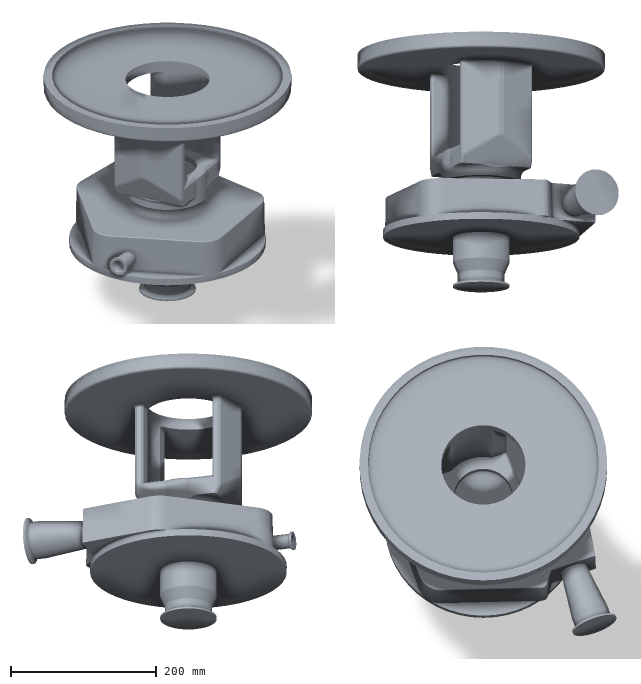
import cadquery as cq
import math

TOTAL_LENGTH = 370.0

TOTAL_HEIGHT = 324.5
PLATE_BOTTOM = 303.0
FORK_SHOULDER = 199.8
SEAT_TOP = 188.0
FORK_BOTTOM = 160.5
HUB_BOTTOM = 146.0
HOUSING_TOP = 130.0
DISC_TOP = 78.8
DISC_BOTTOM = 69.5
PIPE_CONE_TOP = 33.5
PIPE_CONE_BOTTOM = 18.0

PLATE_DIAMETER = 340.0
PLATE_RADIUS = PLATE_DIAMETER / 2
PLATE_FILLET = 3.0
RECESS_RADIUS = 158.5
RECESS_DEPTH = 5.5
RECESS_FILLET = 1.0
PLATE_BORE_RADIUS = 57.7

FORK_HALF_WIDTH = 52.0
FORK_CORNER_Y = 60.5
FORK_RIDGE_Y = 75.5
RIDGE_HALF_WIDTH = 3.5
FORK_CORNER_CHAMFER = 2.5
FORK_SLOPE_DEGREES = 63.5
FORK_BOTTOM_Y = FORK_RIDGE_Y - (FORK_SHOULDER - FORK_BOTTOM) / math.tan(math.radians(FORK_SLOPE_DEGREES))
WINDOW_HALF_WIDTH = 49.5
WINDOW_CHAMFER = 2.5
SEAT_CHAMFER_HEIGHT = 3.7
SLOPE_CHAMFER = 1.5
FOOT_CHAMFER = 2.0

HUB_RADIUS = 54.8
HUB_CHAMFER = 2.5
HUB_FILLET = 6.0
HUB_RECESS_RADIUS = 40.5
HUB_RECESS_DEPTH = 9.2
NECK_RADIUS = 45.0
NECK_FILLET = 10.5

HOUSING_SIDES = 5
HOUSING_APOTHEM = 115.5
HOUSING_CORNER_RADIUS = 32.0
HOUSING_PEAK_RADIUS = 9.2
PEAK_ANGLE = math.radians(108)
HOUSING_DRAFT = 1.0
HOUSING_TOP_FILLET = 1.5
DISCHARGE_FACE_Y = 114.5
DISCHARGE_CORNER_X = -123.5
DISC_RADIUS = 135.0

PIPE_RADIUS = 39.0
PIPE_END_RADIUS = 32.2
DISCHARGE_X = -91.5
DISCHARGE_Z = 103.5
DISCHARGE_END_Y = TOTAL_LENGTH - PLATE_RADIUS
DISCHARGE_CONE_Y = 179.5
DISCHARGE_RADIUS = 26.0
DISCHARGE_THROAT_RADIUS = 19.0
DISCHARGE_THROAT_Y = 118.0
DISCHARGE_FLANGE_RADIUS = 32.0
DISCHARGE_OVERLAP = 7.5
DRAIN_Z = 98.0
DRAIN_END_Y = 151.0
DRAIN_RADIUS = 10.0
DRAIN_FLANGE_RADIUS = 13.0
DRAIN_BORE_RADIUS = 7.8
DRAIN_BORE_CHAMFER = 1.5

FLANGE_RIM = 2.5
FLANGE_BACK = 3.5
DRAIN_FLANGE_SCALE = 0.9

SELECT_MARGIN = 2.0


def cylinder(radius, bottom, top):
    return cq.Workplane("XY").workplane(offset=bottom).circle(radius).extrude(top - bottom)


def revolved(points):
    """Solid of revolution about Z from (radius, height) points."""
    return cq.Workplane("XZ").polyline(points).close().revolve(360, (0, 0, 0), (0, 1, 0))


def recess(radius, bottom, top):
    """Cutter for a round recess with a filleted floor."""
    return cylinder(radius, bottom, top).faces("<Z").edges().fillet(RECESS_FILLET)


def mounting_plate():
    plate = cylinder(PLATE_RADIUS, PLATE_BOTTOM, TOTAL_HEIGHT)
    plate = plate.faces("<Z").edges().fillet(PLATE_FILLET)
    return plate.cut(recess(RECESS_RADIUS, TOTAL_HEIGHT - RECESS_DEPTH, TOTAL_HEIGHT))


def fork_plan(bottom, top):
    """Prism with flat sides and a shallow ridge towards +Y and -Y."""
    quarter = [(FORK_HALF_WIDTH, FORK_CORNER_Y), (RIDGE_HALF_WIDTH, FORK_RIDGE_Y)]
    half = quarter + [(-x, y) for x, y in reversed(quarter)]
    outline = half + [(-x, -y) for x, y in half]
    return cq.Workplane("XY").workplane(offset=bottom).polyline(outline).close().extrude(top - bottom)


def fork():
    block = fork_plan(FORK_BOTTOM, PLATE_BOTTOM)
    half = [
        (FORK_BOTTOM_Y, FORK_BOTTOM),
        (FORK_RIDGE_Y, FORK_SHOULDER),
        (FORK_RIDGE_Y, PLATE_BOTTOM),
    ]
    side_profile = half + [(-y, z) for y, z in reversed(half)]
    sloped = cq.Workplane("YZ").polyline(side_profile).close().extrude(FORK_HALF_WIDTH, both=True)
    block = block.intersect(sloped)
    brow = cq.selectors.BoxSelector(
        (SELECT_MARGIN - FORK_HALF_WIDTH, -FORK_RIDGE_Y - SELECT_MARGIN, FORK_BOTTOM + SELECT_MARGIN),
        (FORK_HALF_WIDTH - SELECT_MARGIN, FORK_RIDGE_Y + SELECT_MARGIN, FORK_SHOULDER + SELECT_MARGIN))
    for y in (-FORK_RIDGE_Y, FORK_RIDGE_Y):
        slope = cq.selectors.NearestToPointSelector((0, y, FORK_BOTTOM))
        block = block.faces(slope).edges(brow).chamfer(SLOPE_CHAMFER)
    for side in ("<X", ">X"):
        block = block.faces(side).edges("not #Z").chamfer(FORK_CORNER_CHAMFER)
    return block


def fork_window():
    height = PLATE_BOTTOM - SEAT_TOP
    window = cq.Workplane("XY").workplane(offset=SEAT_TOP).rect(
        2 * FORK_HALF_WIDTH, 2 * WINDOW_HALF_WIDTH).extrude(height)
    mouth_z = SEAT_TOP - SEAT_CHAMFER_HEIGHT
    mouth_half = WINDOW_HALF_WIDTH + WINDOW_CHAMFER
    for side in (-1, 1):
        mouth = (
            cq.Workplane("YZ", origin=(side * (FORK_HALF_WIDTH - WINDOW_CHAMFER), 0, 0))
            .center(0, SEAT_TOP + height / 2)
            .rect(2 * WINDOW_HALF_WIDTH, height)
            .workplane(offset=side * WINDOW_CHAMFER)
            .center(0, (mouth_z - SEAT_TOP) / 2)
            .rect(2 * mouth_half, PLATE_BOTTOM - mouth_z)
            .loft(combine=True)
        )
        window = window.union(mouth)
    return window


def hub():
    body = cylinder(HUB_RADIUS, HUB_BOTTOM, SEAT_TOP)
    return body.faces(">Z").edges().chamfer(HUB_CHAMFER)


def hub_fillet():
    """Concave fillet between the hub and the overhanging underside of the fork."""
    outer = HUB_RADIUS + HUB_FILLET
    bend = HUB_FILLET * (1 - math.sqrt(0.5))
    ring = (
        cq.Workplane("XZ")
        .moveTo(NECK_RADIUS, FORK_BOTTOM)
        .lineTo(outer, FORK_BOTTOM)
        .threePointArc((HUB_RADIUS + bend, FORK_BOTTOM - bend), (HUB_RADIUS, FORK_BOTTOM - HUB_FILLET))
        .lineTo(NECK_RADIUS, FORK_BOTTOM - HUB_FILLET)
        .close()
        .revolve(360, (0, 0, 0), (0, 1, 0))
    )
    underside = cq.Workplane("XY").workplane(offset=HUB_BOTTOM).rect(
        2 * FORK_HALF_WIDTH, 2 * FORK_BOTTOM_Y).extrude(FORK_BOTTOM - HUB_BOTTOM)
    return ring.intersect(underside)


def neck():
    bend = NECK_FILLET * (1 - math.sqrt(0.5))
    return (
        cq.Workplane("XZ")
        .moveTo(0, HOUSING_TOP)
        .lineTo(NECK_RADIUS + NECK_FILLET, HOUSING_TOP)
        .threePointArc((NECK_RADIUS + bend, HOUSING_TOP + bend), (NECK_RADIUS, HOUSING_TOP + NECK_FILLET))
        .lineTo(NECK_RADIUS, HUB_BOTTOM)
        .lineTo(0, HUB_BOTTOM)
        .close()
        .revolve(360, (0, 0, 0), (0, 1, 0))
    )


def housing():
    """Pentagon with one side pushed out to a flat face for the discharge pipe."""
    corner_distance = HOUSING_APOTHEM / math.cos(math.pi / HOUSING_SIDES)
    corner_angles = [PEAK_ANGLE + 2 * math.pi * i / HOUSING_SIDES for i in range(HOUSING_SIDES)]
    corners = [(corner_distance * math.cos(a), corner_distance * math.sin(a)) for a in corner_angles]
    peak, west = corners[0], corners[1]
    slide = (peak[1] - DISCHARGE_FACE_Y) / (peak[1] - west[1])
    step = (peak[0] + slide * (west[0] - peak[0]), DISCHARGE_FACE_Y)
    outline = [peak, step, (DISCHARGE_CORNER_X, DISCHARGE_FACE_Y)] + corners[1:]
    body = cq.Workplane("XY").workplane(offset=DISC_TOP).polyline(outline).close()
    body = body.extrude(HOUSING_TOP - DISC_TOP, taper=HOUSING_DRAFT)
    corner_radii = [HOUSING_PEAK_RADIUS] + [HOUSING_CORNER_RADIUS] * (HOUSING_SIDES - 1)
    for (x, y), radius in zip(corners, corner_radii):
        upright_edge = cq.selectors.NearestToPointSelector((x, y, (DISC_TOP + HOUSING_TOP) / 2))
        body = body.edges(upright_edge).fillet(radius)
    return body.faces(">Z").edges().fillet(HOUSING_TOP_FILLET)


def clamp_flange(pipe_radius, flange_radius, scale=1.0):
    """Clamp flange facing -Z with its sealing face at Z = 0."""
    rim = FLANGE_RIM * scale
    back = rim + FLANGE_BACK * scale
    return revolved([(0, 0), (flange_radius, 0), (flange_radius, rim), (pipe_radius, back), (0, back)])


def suction_pipe():
    pipe = revolved([
        (0, 0),
        (PIPE_END_RADIUS, 0),
        (PIPE_END_RADIUS, PIPE_CONE_BOTTOM),
        (PIPE_RADIUS, PIPE_CONE_TOP),
        (PIPE_RADIUS, DISC_BOTTOM),
        (0, DISC_BOTTOM),
    ])
    return pipe.union(clamp_flange(PIPE_END_RADIUS, PIPE_RADIUS))


def discharge_pipe():
    cone_end = DISCHARGE_END_Y - DISCHARGE_CONE_Y
    throat = DISCHARGE_END_Y - DISCHARGE_THROAT_Y
    root = DISCHARGE_END_Y - DISCHARGE_FACE_Y + DISCHARGE_OVERLAP
    pipe = revolved([
        (0, 0),
        (DISCHARGE_RADIUS, 0),
        (DISCHARGE_RADIUS, cone_end),
        (DISCHARGE_THROAT_RADIUS, throat),
        (DISCHARGE_THROAT_RADIUS, root),
        (0, root),
    ])
    pipe = pipe.union(clamp_flange(DISCHARGE_RADIUS, DISCHARGE_FLANGE_RADIUS))
    return pipe.rotate((0, 0, 0), (1, 0, 0), 90).translate((DISCHARGE_X, DISCHARGE_END_Y, DISCHARGE_Z))


def add_drain_pipe(solid):
    """Add the drain stub, bored through to the housing wall."""
    root = DRAIN_END_Y - HOUSING_APOTHEM
    stub = cylinder(DRAIN_RADIUS, 0, root)
    stub = stub.union(clamp_flange(DRAIN_RADIUS, DRAIN_FLANGE_RADIUS, DRAIN_FLANGE_SCALE))

    def place(shape):
        return shape.rotate((0, 0, 0), (1, 0, 0), -90).translate((0, -DRAIN_END_Y, DRAIN_Z))

    mouth_radius = DRAIN_BORE_RADIUS + DRAIN_BORE_CHAMFER
    bore = revolved([
        (0, 0),
        (mouth_radius, 0),
        (DRAIN_BORE_RADIUS, DRAIN_BORE_CHAMFER),
        (DRAIN_BORE_RADIUS, root),
        (0, root),
    ])
    return solid.union(place(stub)).cut(place(bore))


support = mounting_plate().union(fork().cut(fork_window()))
fork_feet = cq.selectors.BoxSelector(
    (-FORK_HALF_WIDTH - SELECT_MARGIN, -FORK_RIDGE_Y - SELECT_MARGIN, PLATE_BOTTOM - SELECT_MARGIN),
    (FORK_HALF_WIDTH + SELECT_MARGIN, FORK_RIDGE_Y + SELECT_MARGIN, PLATE_BOTTOM + SELECT_MARGIN))
support = support.edges(fork_feet).chamfer(FOOT_CHAMFER)
support = support.union(hub()).union(hub_fillet()).union(neck())
support = support.cut(cylinder(PLATE_BORE_RADIUS, SEAT_TOP, TOTAL_HEIGHT))
support = support.cut(recess(HUB_RECESS_RADIUS, SEAT_TOP - HUB_RECESS_DEPTH, SEAT_TOP))

pump = housing().union(cylinder(DISC_RADIUS, DISC_BOTTOM, DISC_TOP))
pump = pump.union(suction_pipe()).union(discharge_pipe())
pump = add_drain_pipe(pump)

result = support.union(pump)